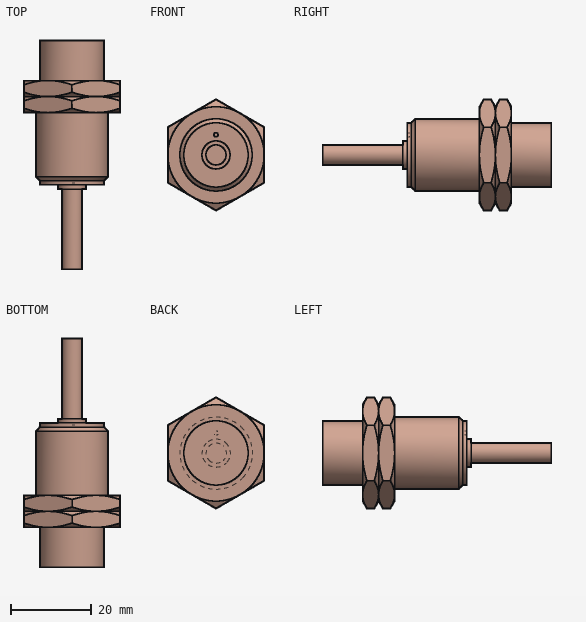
import cadquery as cq
import math

total_length = 57.0
cable_length = 20.0
collar_length = 1.0
end_step_length = 1.0
end_taper_length = 1.0
nut_thickness = 4.0
nose_length = 10.0

cable_diameter = 5.0
collar_diameter = 7.0
barrel_diameter = 18.0
reduced_diameter = 16.0

nut_across_flats = 24.0
nut_sides = 6
half_side_angle = 180 / nut_sides
nut_count = 2
nut_chamfer_angle = 30.0

indicator_diameter = 1.0
indicator_offset = 5.0
indicator_depth = 0.5

cable_end = -total_length / 2
collar_start = cable_end + cable_length
barrel_start = collar_start + collar_length
taper_start = barrel_start + end_step_length
taper_end = taper_start + end_taper_length
nose_tip = total_length / 2
nose_start = nose_tip - nose_length
nuts_start = nose_start - nut_count * nut_thickness


def plane_at(y):
    """Plane across the axis at y, with its normal along +Y."""
    return cq.Workplane(cq.Plane(origin=(0, y, 0), xDir=(1, 0, 0), normal=(0, 1, 0)))


def turned_body():
    """Cable, collar, barrel and nose as one revolved profile."""
    cable_r = cable_diameter / 2
    collar_r = collar_diameter / 2
    barrel_r = barrel_diameter / 2
    reduced_r = reduced_diameter / 2
    profile = [
        (0, cable_end),
        (cable_r, cable_end),
        (cable_r, collar_start),
        (collar_r, collar_start),
        (collar_r, barrel_start),
        (reduced_r, barrel_start),
        (reduced_r, taper_start),
        (barrel_r, taper_end),
        (barrel_r, nose_start),
        (reduced_r, nose_start),
        (reduced_r, nose_tip),
        (0, nose_tip),
    ]
    return cq.Workplane("XY").polyline(profile).close().revolve(360, (0, 0), (0, 1))


def lock_nut(start):
    """Hexagon nut whose corners are chamfered conically on both faces."""
    flat_r = nut_across_flats / 2
    corner_r = flat_r / math.cos(math.radians(half_side_angle))
    chamfer_drop = (corner_r - flat_r) * math.tan(math.radians(nut_chamfer_angle))
    end = start + nut_thickness
    hexagon = plane_at(start).polygon(nut_sides, 2 * corner_r).extrude(nut_thickness)
    hexagon = hexagon.rotate((0, 0, 0), (0, 1, 0), half_side_angle)
    envelope_profile = [
        (0, start),
        (flat_r, start),
        (corner_r, start + chamfer_drop),
        (corner_r, end - chamfer_drop),
        (flat_r, end),
        (0, end),
    ]
    envelope = cq.Workplane("XY").polyline(envelope_profile).close().revolve(360, (0, 0), (0, 1))
    return hexagon.intersect(envelope)


def indicator_hole():
    """Cutter for the shallow hole above the cable."""
    hole = plane_at(barrel_start).circle(indicator_diameter / 2).extrude(indicator_depth)
    return hole.translate((0, 0, indicator_offset))


result = turned_body()
for index in range(nut_count):
    result = result.union(lock_nut(nuts_start + index * nut_thickness))
result = result.cut(indicator_hole())